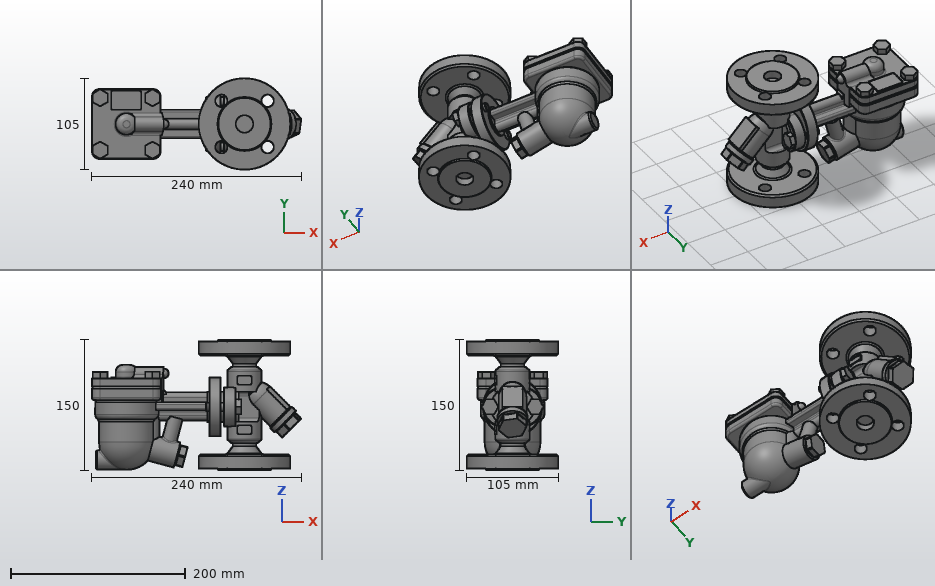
import cadquery as cq
import math


HEX_SIDES = 6
PICK_MARGIN = 1.0

FACE_Z = 75.0
FLANGE_R = 52.5
RAISED_FACE_R = 29.8
RAISED_FACE_ROOT_R = 31.0
RAISED_FACE_H = 2.0
FLANGE_BACK_Z = 56.6
FLANGE_CHAMFER = 2.2
PORT_D = 20.0
PORT_DEPTH = 10.0
FLANGE_BOLT_D = 14.0
FLANGE_BOLT_CIRCLE_D = 75.0
FLANGE_BOLT_COUNT = 4
FLANGE_BOLT_START_ANGLE = 45
NECK_ROOT_R = 22.0
NECK_BASE_R = 19.5
NECK_TIP_R = 13.6
NECK_ROOT_H = 1.2
NECK_TIP_Z = 47.5

BODY_R = 19.7
BODY_SHOULDER_Z = 38.9
BODY_END_Z = 43.8
SHOULDER_TIP_R = 15.0
SHOULDER_ROUND_R = 18.8
SHOULDER_ROUND_Z = 40.4
SHOULDER_ARC_R = 1.7
WAIST_HALF_Y = 10.5
WAIST_TOP_Z = 15.4
WAIST_BOTTOM_Z = -19.5
WAIST_BLEND_R = 5.0
PAD_W, PAD_H = 16.3, 10.5
PAD_CORNER_R = 2.0
PAD_Y = -20.2
PAD_Z = 28.4

STRAINER_ORIGIN_Z = 27.7
STRAINER_DIR = (math.sqrt(0.5), 0, -math.sqrt(0.5))
BARREL_ROOT_R, BARREL_R = 13.2, 16.0
BARREL_ROOT_T, BARREL_FULL_T = 15.5, 26.0
COLLAR_R = 17.5
COLLAR_T0, COLLAR_T1 = 58.0, 66.2
CAP_NECK_R = 13.5
CAP_NECK_L = 1.0
STRAINER_HEX_AF = 28.5
STRAINER_HEX_CORNER_R = 16.1
STRAINER_HEX_END_T = 76.6
STRAINER_HEX_TURN = 11.0
BARREL_PAD_HALF_W = 11.6
BARREL_PAD_TOP = 16.2
BARREL_PAD_T0 = 25.0

JOINT_Z = -2.2
ROUND_FLANGE_R = 33.9
ROUND_FLANGE_X0, ROUND_FLANGE_X1 = -40.5, -26.9
OVAL_X0, OVAL_X1 = -23.7, -9.9
OVAL_END_R = 22.5
OVAL_HALF_Y = 34.0
OVAL_HUB_X1 = -6.7
OVAL_HUB_HALF_Y = 25.0
OVAL_HUB_R = 21.9
JOINT_EDGE = 0.7
SPIGOT_R = 17.5
ARM_RING_L = 2.0
JOINT_BOLT_Y = 26.0
JOINT_BOLT_D = 10.0
JOINT_BOLT_TIP_X = -44.2
JOINT_HEAD_H = 6.2
BOLT_AF = 17.0

ARM_X0 = -125.0
ARM_Z = -1.6
ARM_WEB_HALF_H = 16.35
ARM_WEB_W = 12.0
ARM_WING_HALF_Y = 16.4
ARM_WING_HALF_H = 4.6
ARM_WING_EDGE_R = 2.4
ARM_BLEND_R = 1.3

TRAP_X = -134.6
PLATE_X = -135.4
PLATE_LX, PLATE_LY = 79.0, 80.4
PLATE_CORNER_R = 9.3
PLATE_BOTTOM_Z, PLATE_TOP_Z = 5.6, 18.8
LID_BOTTOM_Z, LID_TOP_Z = 21.2, 30.8
GASKET_INSET = 0.5
PLATE_EDGE_R = 3.0
LID_CHAMFER = 0.7
UPPER_R, LOWER_R = 36.7, 32.3
UPPER_TOP_Z = 3.4
UPPER_NECK_R = 35.4
UPPER_BOTTOM_Z = -10.5
STEP_EDGE_R = 33.6
STEP_EDGE_Z = -16.2
LOWER_TOP_Z = -19.0
BOWL_CENTRE_Z = -42.0
LID_BOLT_PITCH = 60.0
LID_HEAD_H = 7.0
LABEL_LX, LABEL_LY, LABEL_H = 34.2, 21.8, 1.2
LABEL_CORNER_R = 1.5
LABEL_X, LABEL_Y = -135.6, 27.0

DOME_R = 12.3
DOME_TOP_Z = 46.1
DOME_EDGE_R = 8.2
DOME_FOOT_R = 1.8
DUCT_R = 8.5
DUCT_FOOT_R = 4.5
DUCT_END_X = -92.4
DUCT_CHEST_HALF_Y = 13.0
DUCT_CHEST_R = 36.0
CHEST_FOOT = 2.6
NUB_R = 5.6
NUB_Z = 36.2

STUB_END_X = -170.5
STUB_Z = -63.0
STUB_R = 11.2
STUB_CHAMFER = 1.8
STUB_BLEND_R = 1.5
DRUM_END_X, DRUM_END_Z = -77.2, -57.3
DRUM_TILT = math.radians(15)
DRUM_R = 15.0
DRUM_L = 48.0
DRUM_HEX_AF = 24.0
DRUM_HEX_CORNER_R = 13.4
DRUM_NECK_R = 11.3
DRUM_NECK_L = 1.5
DRUM_HEX_END = 9.5
LINK_R = 8.6
LINK_BLEND_R = 2.0
LINK_T = -12.9
LINK_L = 41.0
DOWNPIPE_R = 13.0
DOWNPIPE_X = -110.3
DOWNPIPE_Z0, DOWNPIPE_Z1 = -56.0, -4.0


def revolve_z(profile):
    """Full revolution of an (r, z) wire about the Z axis."""
    return profile.close().revolve(360, (0, 0, 0), (0, 1, 0))


def rod(origin, direction, radius, start, end):
    """Cylinder along a direction, between two distances from the origin."""
    plane = cq.Plane(origin=origin, normal=direction, xDir=(0, 1, 0))
    return cq.Workplane(plane).workplane(offset=start).circle(radius).extrude(end - start)


def hex_rod(origin, direction, across_flats, start, end, turn=0.0):
    """Hexagonal prism along a direction; at turn 0 two corners point along Y."""
    plane = cq.Plane(origin=origin, normal=direction, xDir=(0, 1, 0))
    across_corners = across_flats / math.cos(math.pi / HEX_SIDES)
    prism = cq.Workplane(plane).workplane(offset=start).transformed(rotate=(0, 0, turn))
    return prism.polygon(HEX_SIDES, across_corners).extrude(end - start)


def upper_pipe_flange():
    flange_top_z = FACE_Z - RAISED_FACE_H
    disc = revolve_z(
        cq.Workplane("XZ")
        .moveTo(0, BODY_END_Z)
        .lineTo(NECK_TIP_R, BODY_END_Z)
        .lineTo(NECK_TIP_R, NECK_TIP_Z)
        .lineTo(NECK_BASE_R, FLANGE_BACK_Z - NECK_ROOT_H)
        .lineTo(NECK_ROOT_R, FLANGE_BACK_Z)
        .lineTo(FLANGE_R - FLANGE_CHAMFER, FLANGE_BACK_Z)
        .lineTo(FLANGE_R, FLANGE_BACK_Z + FLANGE_CHAMFER)
        .lineTo(FLANGE_R, flange_top_z)
        .lineTo(RAISED_FACE_ROOT_R, flange_top_z)
        .lineTo(RAISED_FACE_R, FACE_Z)
        .lineTo(0, FACE_Z)
    )
    port = rod((0, 0, FACE_Z), (0, 0, -1), PORT_D / 2, 0, PORT_DEPTH)
    bolt_holes = (
        cq.Workplane("XY")
        .workplane(offset=FLANGE_BACK_Z)
        .polarArray(FLANGE_BOLT_CIRCLE_D / 2, FLANGE_BOLT_START_ANGLE, 360, FLANGE_BOLT_COUNT)
        .circle(FLANGE_BOLT_D / 2)
        .extrude(FACE_Z - FLANGE_BACK_Z)
    )
    return disc.cut(port).cut(bolt_holes)


def connector_body():
    body = revolve_z(
        cq.Workplane("XZ")
        .moveTo(0, -BODY_END_Z)
        .lineTo(SHOULDER_TIP_R, -BODY_END_Z)
        .lineTo(SHOULDER_ROUND_R, -SHOULDER_ROUND_Z)
        .radiusArc((BODY_R, -BODY_SHOULDER_Z), -SHOULDER_ARC_R)
        .lineTo(BODY_R, BODY_SHOULDER_Z)
        .radiusArc((SHOULDER_ROUND_R, SHOULDER_ROUND_Z), -SHOULDER_ARC_R)
        .lineTo(SHOULDER_TIP_R, BODY_END_Z)
        .lineTo(0, BODY_END_Z)
    )
    waist_h = WAIST_TOP_Z - WAIST_BOTTOM_Z
    for side in (-1, 1):
        relief = (
            cq.Workplane("XY")
            .box(2 * BODY_R, BODY_R, waist_h)
            .edges("|X")
            .fillet(WAIST_BLEND_R)
            .translate((0, side * (WAIST_HALF_Y + BODY_R / 2), (WAIST_TOP_Z + WAIST_BOTTOM_Z) / 2))
        )
        body = body.cut(relief)
    for pad_z in (-PAD_Z, PAD_Z):
        pad = (
            cq.Workplane("XY")
            .box(PAD_W, -PAD_Y, PAD_H)
            .edges("|Y")
            .fillet(PAD_CORNER_R)
            .translate((0, PAD_Y / 2, pad_z))
        )
        body = body.union(pad)
    return body


def strainer():
    origin = (0, 0, STRAINER_ORIGIN_Z)
    axial_plane = cq.Plane(origin=origin, xDir=STRAINER_DIR, normal=(0, -1, 0))
    barrel = (
        cq.Workplane(axial_plane)
        .lineTo(COLLAR_T1, 0)
        .lineTo(COLLAR_T1, COLLAR_R)
        .lineTo(COLLAR_T0 + COLLAR_R - BARREL_R, COLLAR_R)
        .lineTo(COLLAR_T0, BARREL_R)
        .lineTo(BARREL_FULL_T, BARREL_R)
        .tangentArcPoint((BARREL_ROOT_T, BARREL_ROOT_R), relative=False)
        .lineTo(0, BARREL_ROOT_R)
        .close()
        .revolve(360, (0, 0, 0), (1, 0, 0))
    )
    pad = (
        cq.Workplane(axial_plane)
        .moveTo(BARREL_PAD_T0, 0)
        .rect(COLLAR_T0 - BARREL_PAD_T0, BARREL_PAD_TOP, centered=False)
        .extrude(BARREL_PAD_HALF_W, both=True)
    )
    hex_start = COLLAR_T1 + CAP_NECK_L
    neck = rod(origin, STRAINER_DIR, CAP_NECK_R, COLLAR_T1, hex_start)
    head = hex_rod(
        origin, STRAINER_DIR, STRAINER_HEX_AF, hex_start, STRAINER_HEX_END_T, STRAINER_HEX_TURN
    )
    head = head.intersect(
        rod(origin, STRAINER_DIR, STRAINER_HEX_CORNER_R, hex_start, STRAINER_HEX_END_T)
    )
    return barrel.union(pad).union(neck).union(head)


def oval(half_y, end_r, x0, x1):
    """Slot-shaped plate on the joint axis, long direction along Y."""
    plate = cq.Workplane("YZ").workplane(offset=x0).center(0, JOINT_Z)
    return plate.slot2D(2 * half_y, 2 * end_r).extrude(x1 - x0)


def bolted_joint():
    axis_point = (0, 0, JOINT_Z)
    along_x = (1, 0, 0)
    joint = rod(axis_point, along_x, ROUND_FLANGE_R, ROUND_FLANGE_X0, ROUND_FLANGE_X1)
    joint = joint.faces("<X or >X").chamfer(JOINT_EDGE)
    oval_flange = oval(OVAL_HALF_Y, OVAL_END_R, OVAL_X0, OVAL_X1)
    joint = joint.union(oval_flange.faces("<X or >X").chamfer(JOINT_EDGE))
    joint = joint.union(oval(OVAL_HUB_HALF_Y, OVAL_HUB_R, OVAL_X1, OVAL_HUB_X1))
    joint = joint.union(rod(axis_point, along_x, SPIGOT_R, ROUND_FLANGE_X0 - ARM_RING_L, OVAL_X0))
    for bolt_y in (-JOINT_BOLT_Y, JOINT_BOLT_Y):
        seat = (0, bolt_y, JOINT_Z)
        shank = rod(seat, along_x, JOINT_BOLT_D / 2, JOINT_BOLT_TIP_X, OVAL_X1)
        shank = shank.faces("<X").chamfer(JOINT_EDGE)
        head = hex_rod(seat, along_x, BOLT_AF, OVAL_X1, OVAL_X1 + JOINT_HEAD_H)
        joint = joint.union(shank).union(head)
    return joint


def arm():
    length = ROUND_FLANGE_X0 - ARM_X0
    section = cq.Workplane("YZ").workplane(offset=ARM_X0).center(0, ARM_Z)
    web = section.slot2D(2 * ARM_WEB_HALF_H, ARM_WEB_W, 90).extrude(length)
    wings = section.rect(2 * ARM_WING_HALF_Y, 2 * ARM_WING_HALF_H).extrude(length)
    wings = wings.edges("|X").fillet(ARM_WING_EDGE_R)
    cross = web.union(wings)
    pick_y = ARM_WEB_W / 2 + PICK_MARGIN
    pick_z = ARM_WING_HALF_H + PICK_MARGIN
    inner_corner = cq.selectors.BoxSelector(
        (ARM_X0, -pick_y, ARM_Z - pick_z),
        (ROUND_FLANGE_X0, pick_y, ARM_Z + pick_z),
    )
    return cross.edges("|X").edges(inner_corner).fillet(ARM_BLEND_R)


def outlet_stub():
    stub = rod((STUB_END_X, 0, STUB_Z), (1, 0, 0), STUB_R, 0, TRAP_X - STUB_END_X)
    return stub.faces("<X").chamfer(STUB_CHAMFER)


def trap_body():
    profile = (
        cq.Workplane("XZ")
        .moveTo(0, PLATE_TOP_Z)
        .lineTo(UPPER_NECK_R, PLATE_TOP_Z)
        .lineTo(UPPER_NECK_R, PLATE_BOTTOM_Z)
        .lineTo(UPPER_R, UPPER_TOP_Z)
        .lineTo(UPPER_R, UPPER_BOTTOM_Z)
        .tangentArcPoint((STEP_EDGE_R, STEP_EDGE_Z), relative=False)
        .lineTo(LOWER_R, LOWER_TOP_Z)
        .lineTo(LOWER_R, BOWL_CENTRE_Z)
        .tangentArcPoint((0, BOWL_CENTRE_Z - LOWER_R), relative=False)
    )
    body = revolve_z(profile).translate((TRAP_X, 0, 0)).union(outlet_stub())
    stub_root = cq.selectors.BoxSelector(
        (STUB_END_X + STUB_CHAMFER + PICK_MARGIN, -STUB_R - PICK_MARGIN, -FACE_Z),
        (TRAP_X + PICK_MARGIN, STUB_R + PICK_MARGIN, BOWL_CENTRE_Z),
    )
    return body.edges(stub_root).fillet(STUB_BLEND_R)


def rounded_plate(inset, z0, z1):
    """Square plate with rounded corners, narrowed by an inset on every side."""
    plate = cq.Workplane("XY").workplane(offset=z0).center(PLATE_X, 0)
    plate = plate.rect(PLATE_LX - 2 * inset, PLATE_LY - 2 * inset).extrude(z1 - z0)
    return plate.edges("|Z").fillet(PLATE_CORNER_R - inset)


def plate_and_lid():
    plate = rounded_plate(0, PLATE_BOTTOM_Z, PLATE_TOP_Z).faces("<Z").edges().fillet(PLATE_EDGE_R)
    gasket = rounded_plate(GASKET_INSET, PLATE_TOP_Z, LID_BOTTOM_Z)
    lid = rounded_plate(0, LID_BOTTOM_Z, LID_TOP_Z).faces(">Z").edges().chamfer(LID_CHAMFER)
    stack = plate.union(gasket).union(lid)
    for side_x in (-1, 1):
        for side_y in (-1, 1):
            seat = (
                PLATE_X + side_x * LID_BOLT_PITCH / 2,
                side_y * LID_BOLT_PITCH / 2,
                LID_TOP_Z,
            )
            stack = stack.union(hex_rod(seat, (0, 0, 1), BOLT_AF, 0, LID_HEAD_H))
    label = (
        cq.Workplane("XY")
        .workplane(offset=LID_TOP_Z)
        .center(LABEL_X, LABEL_Y)
        .rect(LABEL_LX, LABEL_LY)
        .extrude(LABEL_H)
        .edges("|Z")
        .fillet(LABEL_CORNER_R)
    )
    return stack.union(label)


def dome():
    foot_z = LID_TOP_Z + DOME_FOOT_R
    profile = (
        cq.Workplane("XZ")
        .moveTo(0, LID_TOP_Z)
        .lineTo(DOME_R + DOME_FOOT_R, LID_TOP_Z)
        .radiusArc((DOME_R, foot_z), DOME_FOOT_R)
        .lineTo(DOME_R, DOME_TOP_Z - DOME_EDGE_R)
        .tangentArcPoint((DOME_R - DOME_EDGE_R, DOME_TOP_Z), relative=False)
        .lineTo(0, DOME_TOP_Z)
    )
    return revolve_z(profile).translate((PLATE_X, 0, 0))


def duct():
    """Round-topped duct on the lid, ending in a chest that drops behind the plate to the arm."""
    foot_y = DUCT_R + DUCT_FOOT_R
    channel = (
        cq.Workplane("YZ")
        .workplane(offset=PLATE_X)
        .center(0, LID_TOP_Z)
        .moveTo(-foot_y, 0)
        .radiusArc((-DUCT_R, DUCT_FOOT_R), -DUCT_FOOT_R)
        .threePointArc((0, DUCT_FOOT_R + DUCT_R), (DUCT_R, DUCT_FOOT_R))
        .radiusArc((foot_y, 0), -DUCT_FOOT_R)
        .close()
        .extrude(DUCT_END_X - PLATE_X)
    )
    chest_axis = (DUCT_END_X - DUCT_CHEST_R, 0, 0)
    chest_round = rod(chest_axis, (0, 0, 1), DUCT_CHEST_R, ARM_Z, DOME_TOP_Z)
    chest = (
        cq.Workplane("XY")
        .workplane(offset=ARM_Z)
        .center(PLATE_X, 0)
        .rect(2 * PLATE_LX, 2 * DUCT_CHEST_HALF_Y)
        .extrude(LID_TOP_Z - ARM_Z)
    )
    nub = cq.Workplane("XY").sphere(NUB_R).translate((DUCT_END_X, 0, NUB_Z))
    arm_top_z = ARM_Z + ARM_WEB_HALF_H
    foot = (
        cq.Workplane("XZ")
        .moveTo(DUCT_END_X - CHEST_FOOT, arm_top_z - CHEST_FOOT)
        .lineTo(DUCT_END_X, arm_top_z + CHEST_FOOT)
        .lineTo(DUCT_END_X + CHEST_FOOT, arm_top_z)
        .lineTo(DUCT_END_X + CHEST_FOOT, arm_top_z - CHEST_FOOT)
        .close()
        .extrude(ARM_WEB_W / 2, both=True)
    )
    return channel.union(chest).intersect(chest_round).union(foot).union(nub)


def drain_drum():
    origin = (DRUM_END_X, 0, DRUM_END_Z)
    axis = (math.cos(DRUM_TILT), 0, -math.sin(DRUM_TILT))
    upward = (math.sin(DRUM_TILT), 0, math.cos(DRUM_TILT))
    drum = rod(origin, axis, DRUM_R, -DRUM_L, 0)
    neck = rod(origin, axis, DRUM_NECK_R, 0, DRUM_NECK_L)
    plug = hex_rod(origin, axis, DRUM_HEX_AF, DRUM_NECK_L, DRUM_HEX_END)
    plug = plug.intersect(rod(origin, axis, DRUM_HEX_CORNER_R, DRUM_NECK_L, DRUM_HEX_END))
    link_root = (DRUM_END_X + LINK_T * axis[0], 0, DRUM_END_Z + LINK_T * axis[2])
    link = rod(link_root, upward, LINK_R, 0, LINK_L)
    downpipe = rod((DOWNPIPE_X, 0, 0), (0, 0, 1), DOWNPIPE_R, DOWNPIPE_Z0, DOWNPIPE_Z1)
    elbow = drum.union(link)
    saddle_edge = cq.selectors.BoxSelector(
        (link_root[0] - LINK_R, -LINK_R - PICK_MARGIN, DRUM_END_Z + LINK_R),
        (link_root[0] + 2 * LINK_R, LINK_R + PICK_MARGIN, DRUM_END_Z + 2 * DRUM_R),
    )
    elbow = elbow.edges(saddle_edge).fillet(LINK_BLEND_R)
    return elbow.union(neck).union(plug).union(downpipe)


pipe_flange = upper_pipe_flange()
result = (
    connector_body()
    .union(pipe_flange)
    .union(pipe_flange.mirror("XY"))
    .union(strainer())
    .union(bolted_joint())
    .union(arm())
    .union(trap_body())
    .union(plate_and_lid())
    .union(dome())
    .union(duct())
    .union(drain_drum())
)